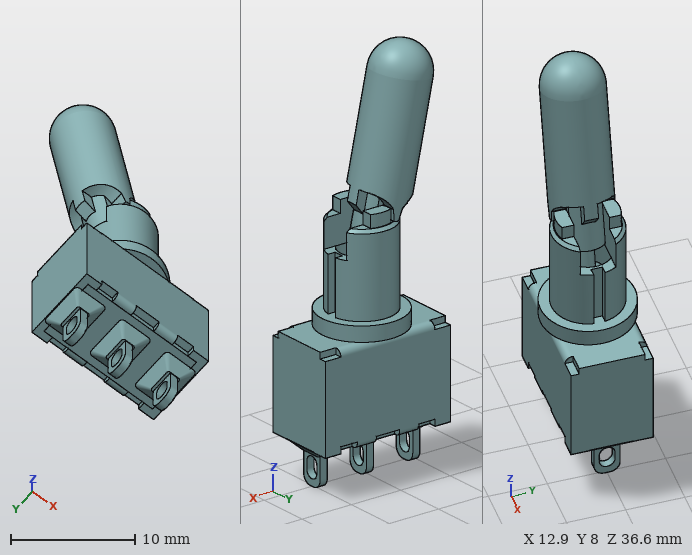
import cadquery as cq
import math

OVERALL_HEIGHT = 36.65

TERMINAL_PITCH = 4.7
TERMINAL_THICKNESS = 0.75
TERMINAL_WIDTH = 2.2
TERMINAL_CORNER_RADIUS = 0.88
TERMINAL_LENGTH = 2.97
EYE_WIDTH = 1.32
EYE_BOTTOM = 0.65
EYE_TOP = 2.65

CAN_LENGTH = 12.68
CAN_WIDTH = 6.95
CAN_BOTTOM = 3.9
CAN_TOP = 12.9
CAN_WALL = 0.7
TOP_BEND_RADIUS = 0.65
RELIEF_FLOOR = 12.3
BEND_LENGTH = 9.53
NOTCH_TOP = 4.5
TAB_INNER_X = 1.17
TAB_OUTER_X = 3.1
TAB_BEND_RADIUS = 0.5

FOOT_LENGTH = 3.15
FOOT_WIDTH = 4.18
FOOT_TAPER = 0.95
FOOT_ROOT_CORNER_RADIUS = 0.35
FOOT_TIP_CORNER_RADIUS = 0.2

FLANGE_DIAMETER = 8.0
FLANGE_THICKNESS = 1.43
BUSHING_DIAMETER = 6.15
BUSHING_TOP = 22.25
BUSHING_CHAMFER = 0.3
GUIDE_SLOT_WIDTH = 3.0
GUIDE_SLOT_FLOOR = 19.55
KEYWAY_WIDTH = 0.95
KEYWAY_FLOOR_X = 2.35
STOP_LENGTH = 2.05
STOP_TOP = 23.45

LEVER_TILT = math.radians(12.0)
BALL_DIAMETER = 4.2
HANDLE_DIAMETER = 5.42
DOME_CENTRE = 18.7
STEM_DIAMETER = 3.6
STEM_WIDTH = 2.85
STEM_BOTTOM = 4.25
NECK_DIAMETER = 1.5
SHOULDER = 8.9
TONGUE_ROOT = 7.8
TONGUE_TIP = 6.8
TONGUE_TIP_WIDTH = 0.48
KEY_WIDTH = 1.17
KEY_BOTTOM = 7.62
KEY_CHAMFER_LENGTH = 1.0
KEY_CHAMFER_HEIGHT = 0.85

TERMINAL_POSITIONS = [-TERMINAL_PITCH, 0, TERMINAL_PITCH]
CAVITY_LENGTH = CAN_LENGTH - 2 * CAN_WALL
CAVITY_WIDTH = CAN_WIDTH - 2 * CAN_WALL
CAVITY_TOP = CAN_TOP - CAN_WALL
FLANGE_TOP = CAN_TOP + FLANGE_THICKNESS
BALL_RADIUS = BALL_DIAMETER / 2
HANDLE_RADIUS = HANDLE_DIAMETER / 2
PIVOT_HEIGHT = OVERALL_HEIGHT - HANDLE_RADIUS - DOME_CENTRE * math.cos(LEVER_TILT)


def centred_box(length, width, bottom, top):
    """Box centred on the Z axis, between two heights."""
    return cq.Workplane("XY").workplane(offset=bottom).rect(length, width).extrude(top - bottom)


def box_between(start_x, end_x, width, bottom, top):
    """Box from one X position to another, centred in Y, between two heights."""
    return centred_box(end_x - start_x, width, bottom, top).translate(((start_x + end_x) / 2, 0, 0))


def cylinder(diameter, bottom, top):
    """Upright cylinder on the Z axis, between two heights."""
    return cq.Workplane("XY").workplane(offset=bottom).circle(diameter / 2).extrude(top - bottom)


def ball(radius, height):
    """Ball centred on the Z axis."""
    return cq.Workplane("XY").sphere(radius).translate((0, 0, height))


def make_terminal(x):
    lug = centred_box(TERMINAL_THICKNESS, TERMINAL_WIDTH, 0, TERMINAL_LENGTH)
    lug = lug.edges("|X and <Z").fillet(TERMINAL_CORNER_RADIUS)
    eye = (
        cq.Workplane("YZ")
        .center(0, (EYE_BOTTOM + EYE_TOP) / 2)
        .slot2D(EYE_TOP - EYE_BOTTOM, EYE_WIDTH, 90)
        .extrude(TERMINAL_THICKNESS, both=True)
    )
    return lug.cut(eye).translate((x, 0, 0))


terminals = [make_terminal(x) for x in TERMINAL_POSITIONS]


def make_foot(x):
    root = cq.Sketch().rect(FOOT_LENGTH, FOOT_WIDTH).vertices().fillet(FOOT_ROOT_CORNER_RADIUS)
    tip_length = FOOT_LENGTH - 2 * FOOT_TAPER
    tip_width = FOOT_WIDTH - 2 * FOOT_TAPER
    tip = cq.Sketch().rect(tip_length, tip_width).vertices().fillet(FOOT_TIP_CORNER_RADIUS)
    foot_height = CAN_BOTTOM - TERMINAL_LENGTH
    foot = cq.Workplane("XY").placeSketch(tip, root.moved(cq.Location(cq.Vector(0, 0, foot_height)))).loft()
    return foot.translate((x, 0, TERMINAL_LENGTH))


def make_base():
    block = centred_box(CAVITY_LENGTH, CAVITY_WIDTH, CAN_BOTTOM, CAVITY_TOP)
    for x in TERMINAL_POSITIONS:
        block = block.union(make_foot(x))
    return block


base = make_base()


def make_can():
    can = centred_box(CAN_LENGTH, CAN_WIDTH, CAN_BOTTOM, CAN_TOP)
    can = can.edges("|X and >Z").fillet(TOP_BEND_RADIUS)
    can = can.cut(centred_box(CAVITY_LENGTH, CAVITY_WIDTH, CAN_BOTTOM, CAVITY_TOP))
    can = can.cut(make_corner_reliefs())
    can = can.cut(centred_box(BEND_LENGTH, CAN_WIDTH, CAN_BOTTOM, NOTCH_TOP))
    return can.union(make_tabs())


def make_corner_reliefs():
    """Square cut-outs at the four top corners, beyond the ends of the long bends."""
    relief_length = (CAN_LENGTH - BEND_LENGTH) / 2
    return (
        cq.Workplane("XY")
        .workplane(offset=RELIEF_FLOOR)
        .rect(CAN_LENGTH - relief_length, CAN_WIDTH - CAN_WALL, forConstruction=True)
        .vertices()
        .rect(relief_length, CAN_WALL)
        .extrude(CAN_TOP - RELIEF_FLOOR)
    )


def make_tabs():
    """Two pairs of tabs below the long walls, with their lower outer edges rounded."""
    tabs = box_between(TAB_INNER_X, TAB_OUTER_X, CAN_WIDTH, CAN_BOTTOM, NOTCH_TOP)
    tabs = tabs.edges("|X and <Z").fillet(TAB_BEND_RADIUS)
    tabs = tabs.cut(centred_box(CAN_LENGTH, CAVITY_WIDTH, CAN_BOTTOM, NOTCH_TOP))
    return tabs.union(tabs.mirror("YZ"))


can = make_can()


def make_scoop():
    """Cutter for the +X side of the handle's lower end, leaving half of the central tongue."""
    tip_x = TONGUE_TIP_WIDTH / 2
    root_x = tip_x + (TONGUE_ROOT - TONGUE_TIP) * math.tan(LEVER_TILT)
    run = HANDLE_RADIUS - root_x
    rise = SHOULDER - TONGUE_ROOT
    arc_radius = (run**2 + rise**2) / (2 * rise)
    half_angle = math.asin(run / arc_radius) / 2
    arc_middle = (
        HANDLE_RADIUS - arc_radius * math.sin(half_angle),
        SHOULDER - arc_radius * (1 - math.cos(half_angle)),
    )
    return (
        cq.Workplane("XZ")
        .moveTo(tip_x, TONGUE_TIP)
        .lineTo(root_x, TONGUE_ROOT)
        .threePointArc(arc_middle, (HANDLE_RADIUS, SHOULDER))
        .lineTo(HANDLE_RADIUS, TONGUE_TIP)
        .close()
        .extrude(HANDLE_RADIUS, both=True)
    )


def make_keys():
    """Narrow keys on the -X and +X sides of the handle's lower end, chamfered at the bottom."""
    chamfer_x = HANDLE_RADIUS - KEY_CHAMFER_LENGTH
    key_tip = KEY_BOTTOM - KEY_CHAMFER_HEIGHT
    keys = (
        cq.Workplane("XZ")
        .moveTo(-HANDLE_RADIUS, SHOULDER)
        .lineTo(-HANDLE_RADIUS, KEY_BOTTOM)
        .lineTo(-chamfer_x, key_tip)
        .lineTo(chamfer_x, key_tip)
        .lineTo(HANDLE_RADIUS, KEY_BOTTOM)
        .lineTo(HANDLE_RADIUS, SHOULDER)
        .close()
        .extrude(KEY_WIDTH / 2, both=True)
    )
    return keys.intersect(cylinder(HANDLE_DIAMETER, key_tip, SHOULDER))


def make_lever():
    scoop = make_scoop()
    handle = cylinder(HANDLE_DIAMETER, TONGUE_TIP, DOME_CENTRE).cut(scoop).cut(scoop.mirror("YZ"))
    stem = cylinder(STEM_DIAMETER, STEM_BOTTOM, SHOULDER)
    stem = stem.intersect(centred_box(STEM_DIAMETER, STEM_WIDTH, STEM_BOTTOM, SHOULDER))
    neck = cylinder(NECK_DIAMETER, 0, STEM_BOTTOM)
    lever = handle.union(make_keys()).union(stem).union(neck)
    lever = lever.union(ball(HANDLE_RADIUS, DOME_CENTRE)).union(ball(BALL_RADIUS, 0))
    lever = lever.rotate((0, 0, 0), (0, 1, 0), -math.degrees(LEVER_TILT))
    return lever.translate((0, 0, PIVOT_HEIGHT))


lever = make_lever()


def make_bushing():
    bushing = cylinder(BUSHING_DIAMETER, FLANGE_TOP, BUSHING_TOP).faces(">Z").chamfer(BUSHING_CHAMFER)
    bushing = bushing.union(cylinder(FLANGE_DIAMETER, CAN_TOP, FLANGE_TOP))

    stops = centred_box(STOP_LENGTH, HANDLE_DIAMETER, GUIDE_SLOT_FLOOR, STOP_TOP)
    stops = stops.intersect(cylinder(HANDLE_DIAMETER, GUIDE_SLOT_FLOOR, STOP_TOP))
    bushing = bushing.union(stops)

    guide_slot = centred_box(BUSHING_DIAMETER, GUIDE_SLOT_WIDTH, GUIDE_SLOT_FLOOR, STOP_TOP)
    keyway = box_between(KEYWAY_FLOOR_X, BUSHING_DIAMETER / 2, KEYWAY_WIDTH, FLANGE_TOP, BUSHING_TOP)
    socket = cylinder(BALL_DIAMETER, PIVOT_HEIGHT, GUIDE_SLOT_FLOOR)
    socket = socket.union(ball(BALL_RADIUS, PIVOT_HEIGHT))
    bushing = bushing.cut(guide_slot).cut(keyway).cut(socket)

    return bushing.cut(lever)


bushing = make_bushing()

result = cq.Compound.makeCompound(
    [body.solids().val() for body in [lever, bushing, can, base, *terminals]]
)